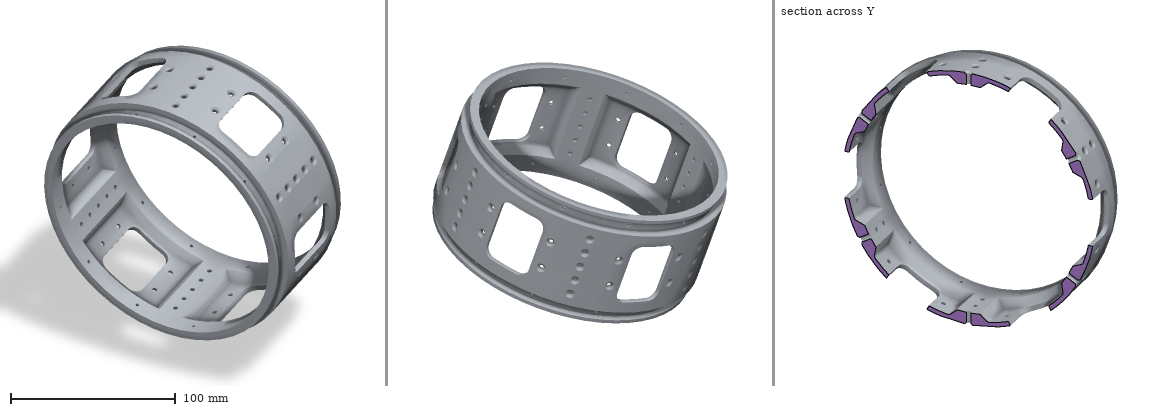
import cadquery as cq
import math

INCH = 25.4

body_radius = 6.65 * INCH / 2
bore_radius = 6.0 * INCH / 2
flange_radius = 81.9
neck_radius = 79.25
ring_length = 76.74
body_length = 57.0
flange_rim_width = 2.3
flange_root_width = 3.35

station_count = 6
station_pitch = 360 / station_count

window_length = 41.5
window_width = 30.8
window_corner_radius = 6.35

wall_thickness = 0.125 * INCH
pocket_floor_radius = body_radius - wall_thickness
pocket_mouth_length = 53.3
pocket_mouth_half_angle = 24.25
pocket_wall_slope = 45.0
pocket_floor_fillet = 2.4

screw_hole_diameter = 2.95
countersink_diameter = 5.8
countersink_angle = 100.0
row_hole_count = 5
row_hole_spacing = 0.4 * INCH
window_screw_spacing = 0.75 * INCH
window_screw_angle = 15.0

neck_hole_count = 12
neck_hole_pitch = 360 / neck_hole_count
neck_hole_diameter = 2.15
neck_hole_end_distance = 6.0

cutter_start = bore_radius / 2
cutter_end = body_radius + wall_thickness


def make_ring():
    """Body with a neck and a bevel-backed flange at each end."""
    half_length = ring_length / 2
    half_body = body_length / 2
    upper_half = [
        (half_length, bore_radius),
        (half_length, flange_radius),
        (half_length - flange_rim_width, flange_radius),
        (half_length - flange_root_width, neck_radius),
        (half_body, neck_radius),
        (half_body, body_radius),
    ]
    lower_half = [(-y, radius) for y, radius in reversed(upper_half)]
    profile = cq.Workplane("YZ").polyline(upper_half + lower_half).close()
    return profile.revolve(360, (0, 0, 0), (1, 0, 0)).val()


def make_window_cutter():
    """Rounded rectangle pushed outward along +X."""
    return (
        cq.Workplane("YZ", origin=(cutter_start, 0, 0))
        .rect(window_length, window_width)
        .extrude(cutter_end - cutter_start)
        .edges("|X")
        .fillet(window_corner_radius)
        .val()
    )


def make_pocket_cutter():
    """Pocket facing +X with conical walls at the Y ends, flat side walls and a concentric floor."""
    slope = math.radians(pocket_wall_slope)

    def half_length_at(radius):
        return pocket_mouth_length / 2 - (radius - bore_radius) * math.tan(slope)

    inner_radius = bore_radius - wall_thickness
    inner = half_length_at(inner_radius)
    floor = half_length_at(pocket_floor_radius)
    band = (
        cq.Workplane("XY")
        .moveTo(inner_radius, -inner)
        .lineTo(pocket_floor_radius, -floor)
        .lineTo(pocket_floor_radius, floor)
        .lineTo(inner_radius, inner)
        .close()
        .revolve(360, (0, 0, 0), (0, 1, 0))
    )

    half_angle = math.radians(pocket_mouth_half_angle)
    mouth_x = bore_radius * math.cos(half_angle)
    mouth_z = bore_radius * math.sin(half_angle)
    lean = math.tan(slope - half_angle)
    start_z = mouth_z + (mouth_x - cutter_start) * lean
    end_z = mouth_z + (mouth_x - cutter_end) * lean
    sides = (
        cq.Workplane("XZ")
        .moveTo(cutter_start, -start_z)
        .lineTo(cutter_end, -end_z)
        .lineTo(cutter_end, end_z)
        .lineTo(cutter_start, start_z)
        .close()
        .extrude(ring_length / 2, both=True)
    )

    pocket = band.intersect(sides)
    return pocket.faces(">X").edges().fillet(pocket_floor_fillet).val()


def make_screw_cutter():
    """Through hole along +X with a countersink at the outer surface."""
    hole_radius = screw_hole_diameter / 2
    sink_radius = countersink_diameter / 2
    sink_depth = (sink_radius - hole_radius) / math.tan(math.radians(countersink_angle / 2))
    profile = (
        cq.Workplane("XY")
        .moveTo(cutter_start, 0)
        .lineTo(cutter_start, hole_radius)
        .lineTo(body_radius - sink_depth, hole_radius)
        .lineTo(body_radius, sink_radius)
        .lineTo(cutter_end, sink_radius)
        .lineTo(cutter_end, 0)
        .close()
    )
    return profile.revolve(360, (0, 0, 0), (1, 0, 0)).val()


def make_neck_hole_cutter():
    """Plain hole along +X."""
    return (
        cq.Workplane("YZ", origin=(cutter_start, 0, 0))
        .circle(neck_hole_diameter / 2)
        .extrude(cutter_end - cutter_start)
        .val()
    )


def place(cutter, angle, y=0.0):
    """Move a cutter made along +X to a height on the Y axis and turn it toward +Z by the angle."""
    return cutter.translate(cq.Vector(0, y, 0)).rotate((0, 0, 0), (0, 1, 0), -angle)


def station_cutters():
    """Pocket, window and screw holes of every station, with a screw row midway to the next one."""
    pocket = make_pocket_cutter()
    window = make_window_cutter()
    screw = make_screw_cutter()
    cutters = []
    for station in range(station_count):
        angle = station * station_pitch
        cutters.append(place(pocket, angle))
        cutters.append(place(window, angle))
        for side in (-1, 1):
            for end in (-1, 1):
                screw_y = end * window_screw_spacing / 2
                cutters.append(place(screw, angle + side * window_screw_angle, screw_y))
        for index in range(row_hole_count):
            row_y = (index - (row_hole_count - 1) / 2) * row_hole_spacing
            cutters.append(place(screw, angle + station_pitch / 2, row_y))
    return cutters


def neck_cutters():
    """Evenly spaced holes around both necks, starting half a pitch from +X."""
    hole = make_neck_hole_cutter()
    hole_y = ring_length / 2 - neck_hole_end_distance
    cutters = []
    for index in range(neck_hole_count):
        angle = (index + 0.5) * neck_hole_pitch
        for end in (-1, 1):
            cutters.append(place(hole, angle, end * hole_y))
    return cutters


ring_with_cuts = make_ring().cut(*station_cutters(), *neck_cutters())
result = cq.Workplane(ring_with_cuts.Solids()[0])